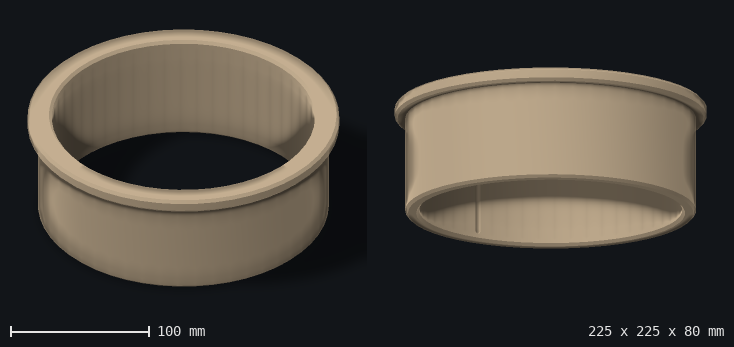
import cadquery as cq

flange_diameter = 225.0
sleeve_diameter = 210.0
bore_diameter = 190.0
total_height = 80.0
flange_thickness = 10.0
chamfer_size = 2.0

groove_radius = 2.0
groove_end_gap = 7.0


def make_collar():
    """Sleeve with a flange around its top, standing on the XY plane."""
    sleeve = cq.Workplane("XY").circle(sleeve_diameter / 2).extrude(total_height)
    sleeve = sleeve.faces("<Z").edges().chamfer(chamfer_size)
    flange = (
        cq.Workplane("XY")
        .workplane(offset=total_height - flange_thickness)
        .circle(flange_diameter / 2)
        .extrude(flange_thickness)
        .edges()
        .chamfer(chamfer_size)
    )
    return sleeve.union(flange)


def cut_bore(body):
    """Through bore, chamfered at both ends."""
    bore = cq.Workplane("XY").circle(bore_diameter / 2).extrude(total_height)
    body = body.cut(bore)
    bore_rims = cq.selectors.RadiusNthSelector(0)
    return body.faces("<Z or >Z").edges(bore_rims).chamfer(chamfer_size)


def cut_groove(body):
    """Vertical groove centred on the bore wall, with ball-shaped ends."""
    groove_length = total_height - 2 * groove_end_gap
    groove = (
        cq.Workplane("XY")
        .workplane(offset=groove_end_gap)
        .center(bore_diameter / 2, 0)
        .circle(groove_radius)
        .extrude(groove_length)
    )
    for end_height in (groove_end_gap, total_height - groove_end_gap):
        ball = cq.Workplane("XY").sphere(groove_radius).translate((bore_diameter / 2, 0, end_height))
        groove = groove.union(ball)
    return body.cut(groove)


result = cut_groove(cut_bore(make_collar()))